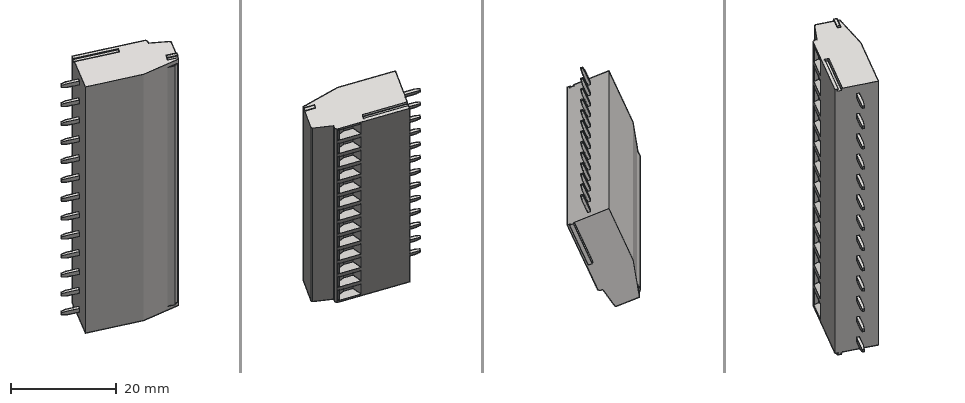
import cadquery as cq

pole_count = 13
pitch = 5.08

body_width = 8.6
body_depth = 19.05
body_length = pole_count * pitch

shoulder_y = 14.85
shoulder_width = 0.9
shoulder_chamfer = 0.35
crown_left = 1.65
crown_right = 6.65
crown_chamfer = 0.2
slope_start_y = 11.55

lip_x = 7.25
lip_top_y = 18.1
lip_bottom_y = 16.7
lip_root_y = 15.0
lip_root_x = 7.0
lip_end_inset = 1.0

socket_low_y = 9.66
socket_high_y = 14.25
socket_height = 3.82
socket_depth = 1.35
socket_floor_low_y = 10.85
socket_floor_high_y = 12.7
socket_floor_height = 2.75
socket_ramp_y = 13.9
socket_ramp_depth = 0.95
socket_ledge_depth = 0.15

key_height = 0.5
key_neck = 0.3
key_lean = 0.2
long_key_x = 0.66
long_key_width = 0.82
long_key_length = 8.95
short_key_x = 5.65
short_key_width = 0.65
short_key_length = 2.1

pin_x = 4.53
pin_thickness = 0.6
pin_width = 1.0
pin_length = 3.55
pin_tip_length = 1.0
pin_tip_thickness = 0.4
pin_tip_width = 0.6


def make_housing():
    """Constant cross-section of the housing, extruded along the row of poles."""
    outline = [
        (0, 0),
        (body_width, 0),
        (body_width, slope_start_y),
        (crown_right, body_depth),
        (crown_left + crown_chamfer, body_depth),
        (crown_left, body_depth - crown_chamfer),
        (shoulder_width, shoulder_y),
        (shoulder_chamfer, shoulder_y),
        (0, shoulder_y - shoulder_chamfer),
    ]
    return cq.Workplane("XY").polyline(outline).close().extrude(body_length)


def make_lip():
    """Long lip rooted inside the back slope, stopping short of both ends."""
    outline = [
        (crown_right, body_depth - crown_chamfer),
        (lip_x, lip_top_y),
        (lip_x, lip_bottom_y),
        (lip_root_x, lip_root_y),
        (crown_right, lip_root_y),
    ]
    lip = cq.Workplane("XY").polyline(outline).close().extrude(body_length - 2 * lip_end_inset)
    return lip.translate((0, 0, lip_end_inset))


def make_socket(z):
    """Wire-entry funnel: its XY profile trimmed by sides that taper in Z."""
    profile = [
        (0, socket_low_y),
        (socket_depth, socket_floor_low_y),
        (socket_depth, socket_floor_high_y),
        (socket_ramp_depth, socket_ramp_y),
        (socket_ledge_depth, socket_ramp_y),
        (socket_ledge_depth, socket_high_y),
        (0, socket_high_y),
    ]
    taper = [
        (0, -socket_height / 2),
        (socket_depth, -socket_floor_height / 2),
        (socket_depth, socket_floor_height / 2),
        (0, socket_height / 2),
    ]
    prism = cq.Workplane("XY").polyline(profile).close().extrude(socket_height / 2, both=True)
    wedge = cq.Workplane("XZ").polyline(taper).close().extrude(-body_depth)
    return prism.intersect(wedge).translate((0, 0, z))


def make_key(x, width, y_start, length, base_z, direction):
    """Key along Y whose neck leans toward -X away from its base, with an upright tip."""
    neck_z = base_z + direction * key_neck
    tip_z = base_z + direction * key_height
    section = [
        (x, base_z),
        (x + width, base_z),
        (x + width - key_lean, neck_z),
        (x + width - key_lean, tip_z),
        (x - key_lean, tip_z),
        (x - key_lean, neck_z),
    ]
    return cq.Workplane("XZ", origin=(0, y_start, 0)).polyline(section).close().extrude(-length)


def make_pin(z):
    """Flat solder pin with a tapered tip, pointing toward -Y."""
    shank_length = pin_length - pin_tip_length
    shank = cq.Workplane("XZ", origin=(pin_x, 0, z)).rect(pin_thickness, pin_width).extrude(shank_length)
    tip = (
        cq.Workplane("XZ", origin=(pin_x, -shank_length, z))
        .rect(pin_thickness, pin_width)
        .workplane(offset=pin_tip_length)
        .rect(pin_tip_thickness, pin_tip_width)
        .loft()
    )
    return shank.union(tip)


result = make_housing().union(make_lip())

for pole in range(pole_count):
    pole_z = (pole + 0.5) * pitch
    result = result.cut(make_socket(pole_z)).union(make_pin(pole_z))

result = result.cut(make_key(long_key_x, long_key_width, 0, long_key_length, body_length, -1))
result = result.union(make_key(long_key_x, long_key_width, 0, long_key_length, 0, -1))

short_key_start = body_depth - short_key_length
short_key = make_key(short_key_x, short_key_width, short_key_start, short_key_length, body_length, 1)
result = result.union(short_key)